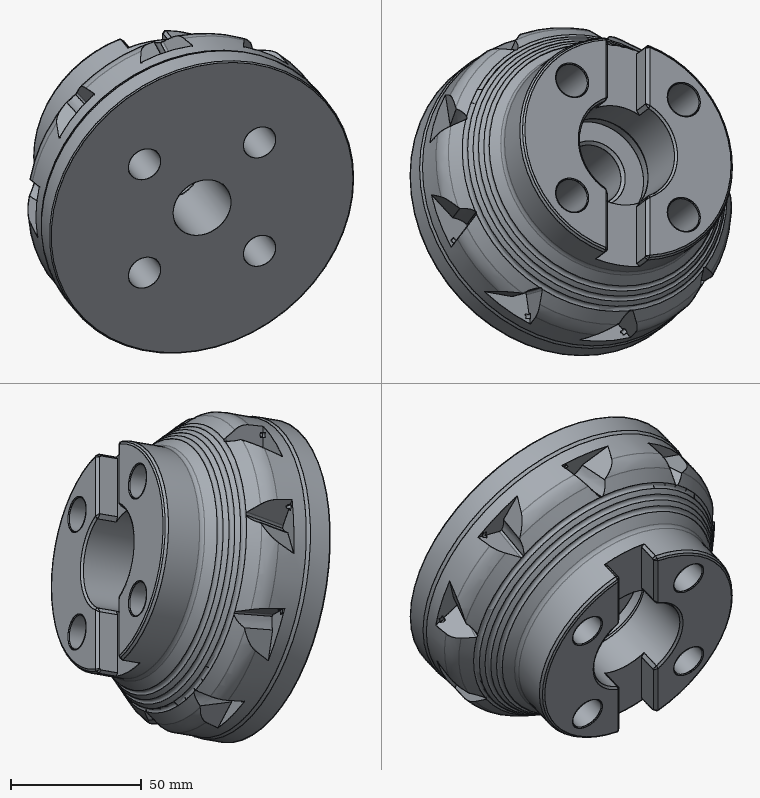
import cadquery as cq
import math

length = 63.0

hub_radius = 45.0
hub_face_radius = 43.6
rim_ridge_x = 0.5
rim_ridge_radius = 44.4
rim_bevel_end_x = 1.6
slot_width = 16.1
slot_depth = 9.1
slot_break = 1.2

bore_radius = 20.1
bore_mouth_break = 0.9
undercut_start = 24.5
undercut_bevel_length = 1.5
undercut_radius = 20.9
bore_depth = 30.0
through_radius = 11.9
through_break = 1.2

bolt_radius = 6.6
bolt_break = 0.4
bolt_pitch = 47.2

flare_angle = 39.6
neck_start_x = 15.2
neck_end_x = 17.1
shoulder_start_x = 34.1
shoulder_end_x = 40.4
body_radius = 62.0

rim_radius = 62.5
rim_step_start_x = 52.5
rim_step_end_x = 54.0
rim_break = 0.5

groove_count = 3
first_groove_x = 20.9
groove_width = 1.8
groove_pitch = 3.5
groove_sag = 0.6

pocket_count = 9
pocket_start_angle = 3.7
pocket_end_x = 47.1
pocket_length = 25.0
pocket_slope = 17.0
pocket_end_tilt = 10.0
pocket_lip_out = 61.2
pocket_overrun = 3.8
pocket_out_limit = 65.0
seat_angle = 28.6
seat_foot_side = 0.6
seat_foot_out = 51.0
root_side = -0.4
root_out = 50.4
knee_side = -4.4
knee_out = 55.2
knee_sag = 0.5
flat_angle = 24.0
relief_radius = 1.0
relief_length = 3.0
relief_out = 58.8


def flare_radius(x):
    """Radius of the flared cone; it lies so that the shoulder arc meets the body tangentially."""
    shoulder_rise = (shoulder_end_x - shoulder_start_x) * math.tan(math.radians(flare_angle / 2))
    return body_radius - shoulder_rise - (shoulder_start_x - x) * math.tan(math.radians(flare_angle))


def sagging_mid(start, end, sag):
    """Middle point of an arc from start to end, bulging to the right of the direction of travel."""
    run = end[0] - start[0]
    rise = end[1] - start[1]
    chord = math.hypot(run, rise)
    mid_x = (start[0] + end[0]) / 2 + sag * rise / chord
    mid_y = (start[1] + end[1]) / 2 - sag * run / chord
    return (mid_x, mid_y)


def turned_body():
    outline = (
        cq.Workplane("XY")
        .lineTo(0, hub_face_radius)
        .lineTo(rim_ridge_x, rim_ridge_radius)
        .lineTo(rim_bevel_end_x, hub_radius)
        .lineTo(neck_start_x, hub_radius)
        .tangentArcPoint((neck_end_x, flare_radius(neck_end_x)), relative=False)
    )
    for i in range(groove_count):
        start_x = first_groove_x + i * groove_pitch
        end_x = start_x + groove_width
        start = (start_x, flare_radius(start_x))
        end = (end_x, flare_radius(end_x))
        outline = outline.lineTo(*start).threePointArc(sagging_mid(start, end, groove_sag), end)
    outline = (
        outline
        .lineTo(shoulder_start_x, flare_radius(shoulder_start_x))
        .tangentArcPoint((shoulder_end_x, body_radius), relative=False)
        .lineTo(rim_step_start_x, body_radius)
        .lineTo(rim_step_end_x, rim_radius)
        .lineTo(length - rim_break, rim_radius)
        .lineTo(length, rim_radius - rim_break)
        .lineTo(length, 0)
        .close()
    )
    return outline.revolve(360, (0, 0, 0), (1, 0, 0))


def bore():
    return (
        cq.Workplane("XY")
        .lineTo(0, bore_radius + bore_mouth_break)
        .lineTo(bore_mouth_break, bore_radius)
        .lineTo(undercut_start, bore_radius)
        .lineTo(undercut_start + undercut_bevel_length, undercut_radius)
        .lineTo(bore_depth, undercut_radius)
        .lineTo(bore_depth, through_radius + through_break)
        .lineTo(bore_depth + through_break, through_radius)
        .lineTo(length, through_radius)
        .lineTo(length, 0)
        .close()
        .revolve(360, (0, 0, 0), (1, 0, 0))
    )


def drive_slot():
    return cq.Workplane("XY").box(2 * slot_depth, slot_width, 2 * rim_radius)


def lug_edges(lugs):
    """Edges around both slot walls, except those on the slot floor."""
    margin = 0.1
    reach = slot_width / 2 + margin
    slot_zone = cq.selectors.BoxSelector(
        (-slot_depth, -reach, -hub_radius),
        (slot_depth - margin, reach, hub_radius),
    )
    return lugs.edges(slot_zone)


def bolt_holes():
    shaft = cq.Solid.makeCylinder(bolt_radius, length, cq.Vector(), cq.Vector(1, 0, 0))
    bevel = cq.Solid.makeCone(
        bolt_radius + bolt_break, bolt_radius, bolt_break, cq.Vector(), cq.Vector(1, 0, 0)
    )
    hole = shaft.fuse(bevel)
    places = cq.Workplane("YZ").rect(bolt_pitch, bolt_pitch, forConstruction=True).vertices().vals()
    return [hole.translate(place.Center()) for place in places]


def tooth_pocket():
    """Sloping pocket at the top of the part, with a relief hole where seat and end wall meet."""
    seat = math.radians(seat_angle)
    seat_top_side = seat_foot_side + (pocket_out_limit - seat_foot_out) * math.tan(seat)
    flat_end_side = knee_side - (pocket_out_limit - knee_out) / math.tan(math.radians(flat_angle))
    root = (root_side, root_out)
    knee = (knee_side, knee_out)
    section = (
        cq.Workplane("YZ", origin=(pocket_end_x, 0, 0))
        .moveTo(seat_top_side, pocket_out_limit)
        .lineTo(seat_foot_side, seat_foot_out)
        .tangentArcPoint(root, relative=False)
        .threePointArc(sagging_mid(knee, root, knee_sag), knee)
        .lineTo(flat_end_side, pocket_out_limit)
        .close()
    )
    slope = math.tan(math.radians(pocket_slope))
    back = cq.Vector(-pocket_length, 0, pocket_length * slope)
    overrun = cq.Vector(pocket_overrun, 0, -pocket_overrun * slope)
    prism = cq.Solid.extrudeLinear(section.val().translate(overrun), [], back - overrun)

    keep_size = 2 * pocket_out_limit
    keep = (
        cq.Workplane("XY")
        .box(keep_size, keep_size, keep_size, centered=(False, True, True))
        .translate((-keep_size, 0, 0))
        .rotate((0, 0, 0), (0, 1, 0), -pocket_end_tilt)
        .translate((pocket_end_x, 0, pocket_lip_out))
        .val()
    )

    relief_side = seat_foot_side + (relief_out - seat_foot_out) * math.tan(seat)
    into_wall = cq.Vector(0, math.cos(seat), -math.sin(seat))
    relief_center = cq.Vector(pocket_end_x, relief_side, relief_out)
    relief = cq.Solid.makeCylinder(
        relief_radius, relief_length, relief_center - into_wall * (relief_length / 2), into_wall
    )
    return prism.intersect(keep).fuse(relief)


body = turned_body().cut(bore()).cut(drive_slot())
body = lug_edges(body).chamfer(slot_break)
for hole in bolt_holes():
    body = body.cut(cq.Workplane(hole))

pocket = tooth_pocket()
for i in range(pocket_count):
    angle = pocket_start_angle + i * 360 / pocket_count
    turned_pocket = pocket.rotate(cq.Vector(0, 0, 0), cq.Vector(1, 0, 0), angle)
    body = body.cut(cq.Workplane(turned_pocket))

result = body